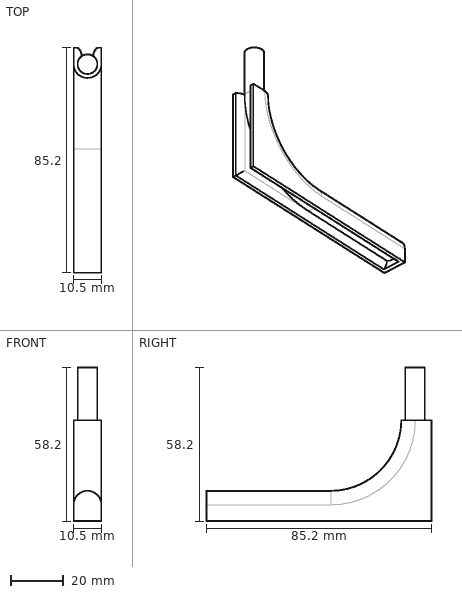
import cadquery as cq
import math

rod_diameter = 7.5
rod_radius = rod_diameter / 2
bend_radius = 32.0
rod_exposed_length = 20.0

wall = 1.5
shell_radius = rod_radius + wall
holder_width = 2 * shell_radius
axis_offset = 6.25
holder_length = 85.25
end_wall = 2.0
holder_height = axis_offset + bend_radius

neck_width = 4.35
lip_narrowing = (rod_diameter - neck_width) / 2
lip_depth = axis_offset - math.sqrt(rod_radius**2 - (neck_width / 2) ** 2)
lip_radius = (lip_narrowing**2 + lip_depth**2) / (2 * lip_narrowing)

rod_y = -axis_offset
rod_z = axis_offset
bend_y = rod_y - bend_radius
bend_z = rod_z + bend_radius
front_y = -holder_length
rod_end_y = front_y + end_wall
rod_top_z = holder_height + rod_exposed_length


def trace_bend(start):
    """Continue a YZ outline from (bend_y, rod_z) along the bend to (rod_y, bend_z)."""
    diagonal = bend_radius * math.sqrt(0.5)
    return start.threePointArc((bend_y + diagonal, bend_z - diagonal), (rod_y, bend_z))


def bent_bar(radius, top_z, end_y):
    """Round bar from end_y along the bend, then straight up to top_z if that is higher."""
    path = trace_bend(cq.Workplane("YZ").moveTo(end_y, rod_z).lineTo(bend_y, rod_z))
    if top_z > bend_z:
        path = path.lineTo(rod_y, top_z)
    return cq.Workplane("XZ", origin=(0, end_y, rod_z)).circle(radius).sweep(path)


def corner_web(width, end_y):
    """Plate from the rod axis out to the rear and bottom faces, ending at end_y."""
    outline = trace_bend(
        cq.Workplane("YZ").moveTo(end_y, 0).lineTo(end_y, rod_z).lineTo(bend_y, rod_z)
    )
    outline = outline.lineTo(0, holder_height).lineTo(0, 0).close()
    return outline.extrude(width / 2, both=True)


def flare(plane, inward, length):
    """Lip-to-lip opening; the outer face lies on local y = 0 and inward is +1 or -1."""
    neck_half = neck_width / 2
    mid_angle = math.asin(lip_depth / lip_radius) / 2
    mid_half = neck_half + lip_radius * (1 - math.cos(mid_angle))
    mid_y = inward * (lip_depth - lip_radius * math.sin(mid_angle))
    neck_y = inward * lip_depth
    return (
        cq.Workplane(plane)
        .moveTo(-rod_radius, 0)
        .threePointArc((-mid_half, mid_y), (-neck_half, neck_y))
        .lineTo(neck_half, neck_y)
        .threePointArc((mid_half, mid_y), (rod_radius, 0))
        .close()
        .extrude(length)
    )


rod = bent_bar(rod_radius, rod_top_z, rod_end_y)

holder = corner_web(holder_width, front_y).union(bent_bar(shell_radius, holder_height, front_y))
neck = corner_web(neck_width, rod_end_y)
rear_flare = flare("XY", -1, holder_height)
bottom_flare = flare("XZ", 1, -rod_end_y)
holder = holder.cut(neck).cut(rear_flare).cut(bottom_flare).cut(rod)

result = cq.Compound.makeCompound([holder.solids().val(), rod.solids().val()])